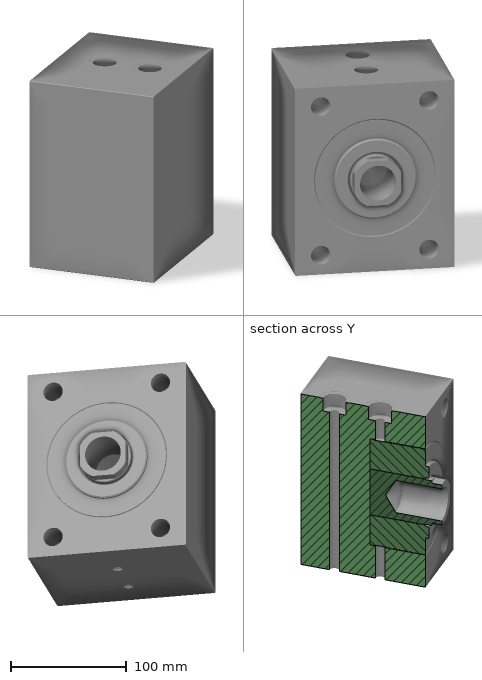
import cadquery as cq
import math


overall_length = 130.0
rod_projection = 15.0
housing_length = overall_length - rod_projection
housing_width = 140.0
housing_height = 170.0
edge_chamfer = 0.5

mount_hole_dia = 17.0
mount_hole_depth = 34.0
mount_pitch_y = 95.0
mount_pitch_z = 135.0
drill_point_angle = 118.0

port_x_positions = (42.0, 84.0)
spotface_dia = 28.0
spotface_depth = 0.2
port_dia = 20.9
port_depth = 13.0
port_drill_dia = 8.5

gland_dia = 105.0
gland_depth = 51.0
gland_bore_chamfer = 1.0
boss_dia = 72.0
boss_height = 3.0
boss_chamfer = 1.0
wiper_recess_dia = 48.3
wiper_recess_depth = 3.0
wiper_recess_chamfer = 0.5

rod_dia = 45.0
rod_chamfer = 0.5
collar_projection = 5.8
nose_dia = 44.2
nose_across_flats = 40.1
rod_hole_dia = 31.6
rod_hole_depth = 42.5


def x_cylinder(diameter, x_start, x_end):
    """Solid cylinder on the rod axis from x_start to x_end."""
    return cq.Workplane("YZ", origin=(x_start, 0, 0)).circle(diameter / 2).extrude(x_end - x_start)


def drilled_hole(diameter, depth, x_start):
    """Cutter for a blind hole along +X with a conical drill point, on the rod axis."""
    radius = diameter / 2
    point_length = radius / math.tan(math.radians(drill_point_angle / 2))
    return (
        cq.Workplane("XY")
        .moveTo(x_start, 0)
        .lineTo(x_start, radius)
        .lineTo(x_start + depth, radius)
        .lineTo(x_start + depth + point_length, 0)
        .close()
        .revolve(360, (0, 0, 0), (1, 0, 0))
    )


def mouth_cone(diameter, chamfer, x_start):
    """Cutter for a 45 degree chamfer at the mouth of a bore that opens towards -X."""
    radius = diameter / 2
    axis_point = cq.Vector(x_start, 0, 0)
    return cq.Workplane(cq.Solid.makeCone(radius + chamfer, radius, chamfer, axis_point, cq.Vector(1, 0, 0)))


def z_cylinder(diameter, x_position, depth):
    """Cutter going down from the housing top face."""
    top = housing_height / 2
    return cq.Workplane("XY", origin=(x_position, 0, top)).circle(diameter / 2).extrude(-depth)


def make_housing():
    block = (
        cq.Workplane("XY")
        .box(housing_length, housing_width, housing_height)
        .edges("|X")
        .chamfer(edge_chamfer)
        .translate((housing_length / 2, 0, 0))
    )

    for port_x in port_x_positions:
        block = block.cut(z_cylinder(spotface_dia, port_x, spotface_depth))
        block = block.cut(z_cylinder(port_dia, port_x, port_depth))
        block = block.cut(z_cylinder(port_drill_dia, port_x, housing_height))

    mount_hole = drilled_hole(mount_hole_dia, mount_hole_depth, 0)
    for side_y in (-1, 1):
        for side_z in (-1, 1):
            hole_place = (0, side_y * mount_pitch_y / 2, side_z * mount_pitch_z / 2)
            block = block.cut(mount_hole.translate(hole_place))

    block = block.cut(x_cylinder(gland_dia, 0, gland_depth))
    return block.cut(mouth_cone(gland_dia, gland_bore_chamfer, 0))


def make_gland():
    boss = x_cylinder(boss_dia, -boss_height, 0).faces("<X").chamfer(boss_chamfer)
    gland = x_cylinder(gland_dia, 0, gland_depth).union(boss)
    gland = gland.cut(x_cylinder(rod_dia, -boss_height, gland_depth))

    gland = gland.cut(x_cylinder(wiper_recess_dia, -boss_height, wiper_recess_depth - boss_height))
    return gland.cut(mouth_cone(wiper_recess_dia, wiper_recess_chamfer, -boss_height))


def make_rod():
    body = x_cylinder(rod_dia, -collar_projection, gland_depth).faces("<X").chamfer(rod_chamfer)
    flats = cq.Workplane("XY").box(2 * rod_projection, nose_across_flats, nose_across_flats)
    nose = x_cylinder(nose_dia, -rod_projection, -collar_projection).intersect(flats)
    return body.union(nose).cut(drilled_hole(rod_hole_dia, rod_hole_depth, -rod_projection))


housing = make_housing()
gland = make_gland()
rod = make_rod()
result = cq.Compound.makeCompound([housing.val(), gland.val(), rod.val()])